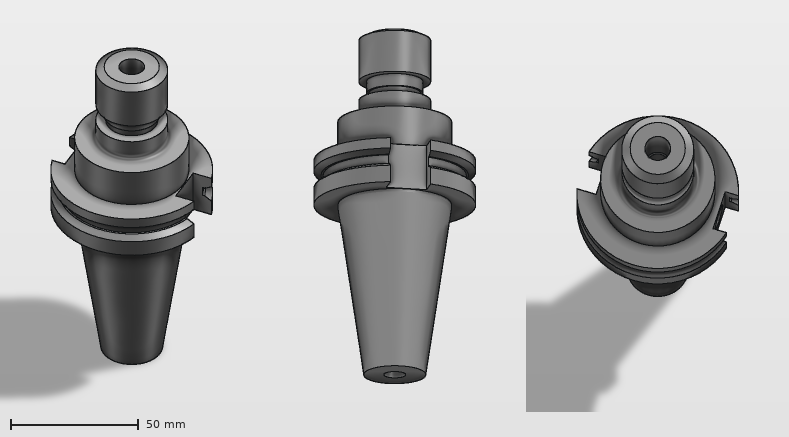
import cadquery as cq

total_height = 138.2
taper_top = 68.2
flange_bottom = 69.4
flange_top = 87.4
groove_center = 79.6
groove_floor_width = 3.7
groove_mouth_width = 7.0
body_top = 103.1
collar_top = 112.0
lower_neck_top = 115.0
nut_bottom = 119.9

taper_small_radius = 12.2
taper_large_radius = 22.3
flange_diameter = 63.5
flange_radius = flange_diameter / 2
groove_radius = 28.0
groove_shoulder_radius = 28.9
body_radius = 22.4
collar_radius = 14.1
lower_neck_radius = 10.2
upper_neck_radius = 11.0
nut_radius = 14.1

collar_fillet = 2.5
nut_chamfer_height = 1.7
nut_chamfer_width = 3.3

bore_radius = 4.3
mouth_radius = 5.0
mouth_depth = total_height - nut_bottom

slot_width = 16.0
left_slot_face = -25.2
right_slot_face = 22.8
dimple_radius = 4.8
dimple_depth = 4.8


def turned_body():
    """Revolve the half profile of the holder about Z."""
    floor_half = groove_floor_width / 2
    mouth_half = groove_mouth_width / 2
    collar_foot_radius = collar_radius + collar_fillet
    profile = (
        cq.Workplane("XZ")
        .lineTo(taper_small_radius, 0)
        .lineTo(taper_large_radius, taper_top)
        .lineTo(taper_large_radius, flange_bottom)
        .lineTo(flange_radius, flange_bottom)
        .lineTo(flange_radius, groove_center - mouth_half)
        .lineTo(groove_shoulder_radius, groove_center - floor_half)
        .lineTo(groove_radius, groove_center - floor_half)
        .lineTo(groove_radius, groove_center + floor_half)
        .lineTo(groove_shoulder_radius, groove_center + floor_half)
        .lineTo(flange_radius, groove_center + mouth_half)
        .lineTo(flange_radius, flange_top)
        .lineTo(body_radius, flange_top)
        .lineTo(body_radius, body_top)
        .lineTo(collar_foot_radius, body_top)
        .radiusArc((collar_radius, body_top + collar_fillet), collar_fillet)
        .lineTo(collar_radius, collar_top)
        .lineTo(lower_neck_radius, collar_top)
        .lineTo(lower_neck_radius, lower_neck_top)
        .lineTo(upper_neck_radius, lower_neck_top)
        .lineTo(upper_neck_radius, nut_bottom)
        .lineTo(nut_radius, nut_bottom)
        .lineTo(nut_radius, total_height - nut_chamfer_height)
        .lineTo(nut_radius - nut_chamfer_width, total_height)
        .lineTo(0, total_height)
        .close()
    )
    return profile.revolve(360, (0, 0, 0), (0, 1, 0))


def stepped_bore():
    """Through bore with a wider mouth at the nut end."""
    bore = cq.Workplane("XY").circle(bore_radius).extrude(total_height)
    mouth = (
        cq.Workplane("XY")
        .workplane(offset=total_height - mouth_depth)
        .circle(mouth_radius)
        .extrude(mouth_depth)
    )
    return bore.union(mouth)


def drive_slot(face_x):
    """Slot across the flange height, from its floor at face_x outward to the rim."""
    side = 1 if face_x > 0 else -1
    slot_depth = flange_radius - abs(face_x)
    return (
        cq.Workplane("XY")
        .workplane(offset=flange_bottom)
        .center(face_x + side * slot_depth / 2, 0)
        .rect(slot_depth, slot_width)
        .extrude(flange_top - flange_bottom)
    )


def slot_dimple():
    """Blind round hole in the floor of the shallower slot."""
    return (
        cq.Workplane("YZ")
        .workplane(offset=left_slot_face)
        .center(0, groove_center)
        .circle(dimple_radius)
        .extrude(dimple_depth)
    )


result = turned_body().cut(stepped_bore())
for slot_face in (left_slot_face, right_slot_face):
    result = result.cut(drive_slot(slot_face))
result = result.cut(slot_dimple())